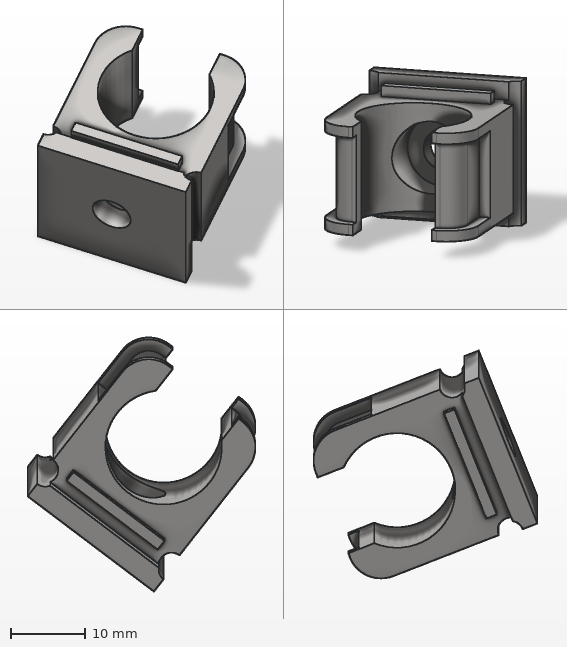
import cadquery as cq

width = 21.5
length = 25.4
plate_height = 20.0
plate_thickness = 3.0

body_height = 14.99
corner_radius = 4.5

bore_radius = 7.85
bore_y = 16.1
opening_width = 11.18

recess_depth = 1.55
lip_height = 1.5
recess_start_y = 15.57

groove_radius = 1.75
groove_y = 3.89

rib_length = 15.5
rib_start_y = 4.72
rib_end_y = 6.25
rib_height = 1.5

screw_diameter = 5.5
counterbore_diameter = 10.0
counterbore_floor_y = 3.18


def block(size_x, start_y, end_y, size_z):
    """Box centred on X and Z, spanning a range of Y."""
    box = cq.Workplane("XY").box(size_x, end_y - start_y, size_z)
    return box.translate((0, (start_y + end_y) / 2, 0))


def rounded_arms(inset, start_y, height):
    """Block inset from the outer outline, with concentric rounded far corners."""
    arms = block(width - 2 * inset, start_y, length - inset, height)
    return arms.edges("|Z and >Y").fillet(corner_radius - inset)


def cylinder_z(radius, x, y):
    """Cylinder through the full height of the part."""
    return cq.Workplane("XY").center(x, y).circle(radius).extrude(plate_height / 2, both=True)


def cylinder_y(diameter, start_y, end_y):
    """Cylinder along the Y axis."""
    start = cq.Workplane("XZ", origin=(0, start_y, 0))
    return start.circle(diameter / 2).extrude(start_y - end_y)


result = block(width, 0, plate_thickness, plate_height)
result = result.union(rounded_arms(0, 0, body_height))

recess_height = body_height - 2 * lip_height
recess = block(width, recess_start_y, length, recess_height)
recess = recess.cut(rounded_arms(recess_depth, 0, recess_height))
result = result.cut(recess)

result = result.union(block(rib_length, rib_start_y, rib_end_y, body_height + 2 * rib_height))

result = result.cut(cylinder_z(bore_radius, 0, bore_y))
result = result.cut(block(opening_width, bore_y, length, body_height))

for side in (-1, 1):
    result = result.cut(cylinder_z(groove_radius, side * width / 2, groove_y))

result = result.cut(cylinder_y(screw_diameter, 0, counterbore_floor_y))
result = result.cut(cylinder_y(counterbore_diameter, counterbore_floor_y, bore_y))